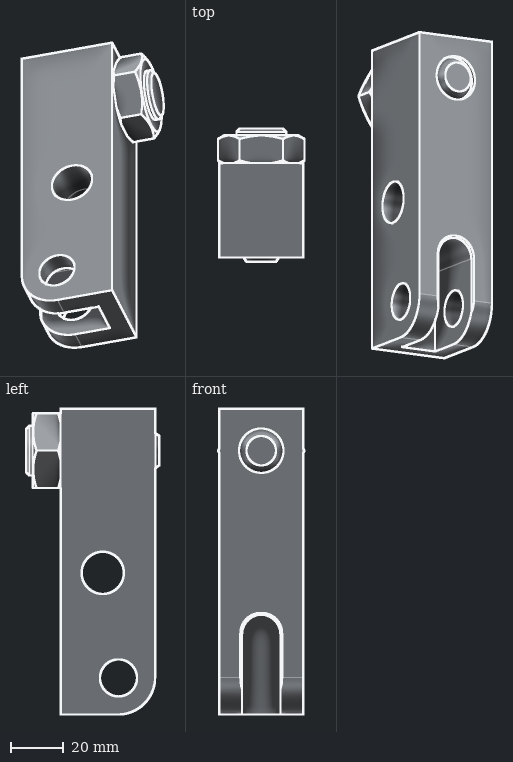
import cadquery as cq
import math

BLOCK_WIDTH = 32.0
BLOCK_DEPTH = 36.0
BLOCK_HEIGHT = 116.51
CORNER_RADIUS = 14.25

PIVOT_HOLE_DIAMETER = 14.0
PIVOT_HOLE_Y = 14.0
PIVOT_HOLE_Z = 14.0
UPPER_HOLE_DIAMETER = 16.0
UPPER_HOLE_Y = 20.0
UPPER_HOLE_Z = 54.0

SLOT_WIDTH = 14.5
SLOT_ARC_Z = 30.8
SLOT_DEPTH = 2 * PIVOT_HOLE_Y
SLOT_CHAMFER = 0.75
SLOT_CHAMFER_ANGLE = 45.0

STUD_Z = BLOCK_HEIGHT - 16.0
STUD_DIAMETER = 19.05
STUD_END_CHAMFER = 1.27
TIP_DIAMETER = 11.2
TIP_PROJECTION = 1.6
TIP_BORE_DIAMETER = 16.9
TIP_BORE_DEPTH = 2.3

NUT_ACROSS_FLATS = 28.58
NUT_THICKNESS = 10.65
NUT_OUTER_END_DIAMETER = 28.0
NUT_INNER_END_DIAMETER = 29.54
NUT_CHAMFER_ANGLE = 30.0

OVERALL_DEPTH = 50.8
STUD_BACK_Y = OVERALL_DEPTH - TIP_PROJECTION


def cross_hole(diameter, y, z):
    """Cylinder along X through the whole width of the block."""
    return (
        cq.Workplane("YZ")
        .center(y, z)
        .circle(diameter / 2)
        .extrude(BLOCK_WIDTH / 2, both=True)
    )


def turned_about_stud(profile):
    """Solid of revolution about the stud axis from (radius, Y) points."""
    return (
        cq.Workplane("XY")
        .polyline(profile)
        .close()
        .revolve(360, (0, 0, 0), (0, 1, 0))
        .translate((0, 0, STUD_Z))
    )


def slot_outline(half_width):
    """Outline with a semicircular top, running down to the bottom face."""
    return (
        cq.Workplane("XZ")
        .moveTo(-half_width, 0)
        .lineTo(-half_width, SLOT_ARC_Z)
        .threePointArc((0, SLOT_ARC_Z + half_width), (half_width, SLOT_ARC_Z))
        .lineTo(half_width, 0)
        .close()
    )


def make_slot():
    """Clevis slot, with a chamfered rim at the front face."""
    half_width = SLOT_WIDTH / 2
    straight = slot_outline(half_width).extrude(-SLOT_DEPTH)
    flare = slot_outline(half_width + SLOT_CHAMFER).extrude(-SLOT_CHAMFER, taper=SLOT_CHAMFER_ANGLE)
    return straight.union(flare)


def make_block():
    """Block with its lower front edge rounded, the slot and both cross holes."""
    block = (
        cq.Workplane("XY")
        .box(BLOCK_WIDTH, BLOCK_DEPTH, BLOCK_HEIGHT, centered=(True, False, False))
        .edges("|X and <Y and <Z")
        .fillet(CORNER_RADIUS)
    )
    return (
        block.cut(make_slot())
        .cut(cross_hole(PIVOT_HOLE_DIAMETER, PIVOT_HOLE_Y, PIVOT_HOLE_Z))
        .cut(cross_hole(UPPER_HOLE_DIAMETER, UPPER_HOLE_Y, UPPER_HOLE_Z))
    )


def make_tip_bore():
    """Blind bore in the front face that surrounds the conical tip."""
    radius = TIP_BORE_DIAMETER / 2
    return turned_about_stud([(0, 0), (radius, 0), (radius, TIP_BORE_DEPTH), (0, TIP_BORE_DEPTH)])


def make_tip():
    """Cone widening from the projecting tip to the full bore at the bore's floor."""
    return turned_about_stud(
        [
            (0, -TIP_PROJECTION),
            (TIP_DIAMETER / 2, -TIP_PROJECTION),
            (TIP_BORE_DIAMETER / 2, TIP_BORE_DEPTH),
            (0, TIP_BORE_DEPTH),
        ]
    )


def make_stud_end():
    """Chamfered end of the stud, from the back face through the nut."""
    radius = STUD_DIAMETER / 2
    return turned_about_stud(
        [
            (0, BLOCK_DEPTH),
            (radius, BLOCK_DEPTH),
            (radius, STUD_BACK_Y - STUD_END_CHAMFER),
            (radius - STUD_END_CHAMFER, STUD_BACK_Y),
            (0, STUD_BACK_Y),
        ]
    )


def make_nut():
    """Hexagon trimmed by a cone at each end."""
    corner_radius = NUT_ACROSS_FLATS / math.sqrt(3)
    slope = math.tan(math.radians(NUT_CHAMFER_ANGLE))
    inner_radius = NUT_INNER_END_DIAMETER / 2
    outer_radius = NUT_OUTER_END_DIAMETER / 2
    nut_back_y = BLOCK_DEPTH + NUT_THICKNESS
    hexagon = (
        cq.Workplane("XZ", origin=(0, BLOCK_DEPTH, STUD_Z))
        .polygon(6, 2 * corner_radius)
        .extrude(-NUT_THICKNESS)
    )
    envelope = turned_about_stud(
        [
            (0, BLOCK_DEPTH),
            (inner_radius, BLOCK_DEPTH),
            (corner_radius, BLOCK_DEPTH + (corner_radius - inner_radius) * slope),
            (corner_radius, nut_back_y - (corner_radius - outer_radius) * slope),
            (outer_radius, nut_back_y),
            (0, nut_back_y),
        ]
    )
    return hexagon.intersect(envelope)


result = (
    make_block()
    .cut(make_tip_bore())
    .union(make_tip())
    .union(make_nut())
    .union(make_stud_end())
)